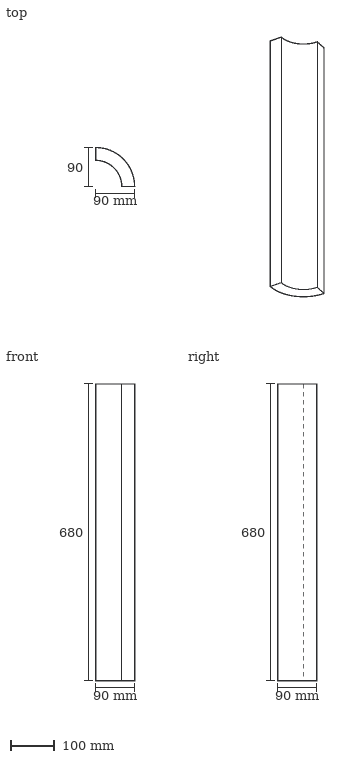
import cadquery as cq

length = 680.0
outer_radius = 90.0
inner_radius = 60.0
sweep_angle = 90.0

wall_thickness = outer_radius - inner_radius
result = (
    cq.Workplane("XZ")
    .moveTo(inner_radius, 0)
    .rect(wall_thickness, length, centered=False)
    .revolve(sweep_angle, (0, 0, 0), (0, 1, 0))
)